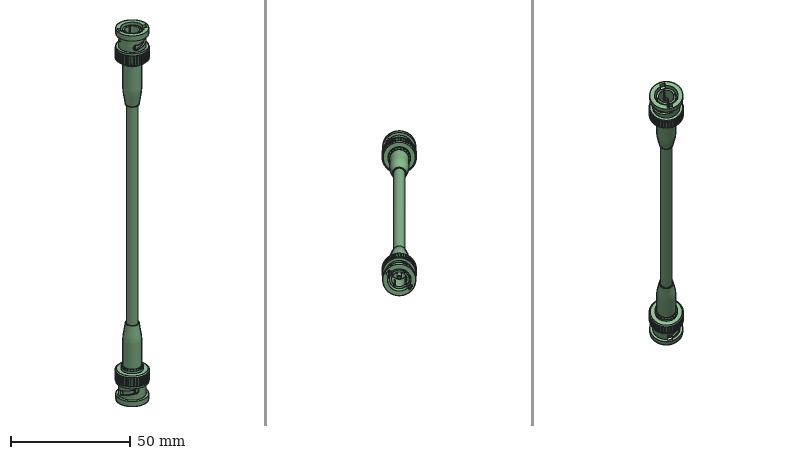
import cadquery as cq

LENGTH = 178.2

GRIP_RADIUS = 7.22
LIP_RADIUS = 7.0
BARREL_RADIUS = 5.8
NUT_BORE_RADIUS = 4.9
LIP_END = 2.5
BARREL_END = 8.5
GRIP_START = 9.6
NUT_END = 14.6
GRIP_CHAMFER = 0.5
KNURL_END = 13.5
KNURL_COUNT = 36
KNURL_DEPTH = 0.4
KNURL_GROOVE_WIDTH = 0.5

TRACK_COUNT = 2
TRACK_WIDTH = 2.1
TRACK_OUTER_RADIUS = 6.0
RAMP_START = 4.1
RAMP_RISE = 2.5
QUARTER_TURNS_PER_TURN = 4
SEAT_RADIUS = 1.2

SLEEVE_RADIUS = 4.1
SLEEVE_BORE_RADIUS = 3.2
SLEEVE_START = 0.9
SLEEVE_BORE_END = 10.7
SLEEVE_SLOT_COUNT = 4
SLEEVE_SLOT_WIDTH = 0.5
SLEEVE_SLOT_END = 8.0
COLLAR_RADIUS = 4.72
COLLAR_HEIGHT = 1.8
COLLAR_CHAMFER = 0.62
COLLAR_NOTCH_COUNT = 20
COLLAR_NOTCH_WIDTH = 0.4
BODY_END = NUT_END + COLLAR_HEIGHT

PIN_RADIUS = 0.9
PIN_START = 2.9
PIN_END = 12.5
PIN_TIP_CHAMFER = 0.4

BOOT_RADIUS = 4.01
BOOT_SHOULDER_RADIUS = 3.7
BOOT_TIP_RADIUS = 2.94
BOOT_BEND_START = 28.7
BOOT_TAPER_START = 31.4
BOOT_END = 36.5
CABLE_RADIUS = 2.5


def cylinder(radius, start, end):
    return cq.Workplane("XY").workplane(offset=start).circle(radius).extrude(end - start)


def turned(shape, angle):
    """The shape turned about the Z axis."""
    return shape.rotate((0, 0, 0), (0, 0, 1), angle)


def radial_bars(radius, depth, width, count, start, end, first_angle=0):
    """Axial bars evenly spaced on a circle, each reaching `depth` to both sides of it."""
    ring = cq.Workplane("XY").workplane(offset=start).polarArray(radius, first_angle, 360, count)
    return ring.rect(2 * depth, width).extrude(end - start)


def bayonet_track():
    """One track through the nut wall, entered at -Y and seated at +X."""
    depth = TRACK_OUTER_RADIUS - SLEEVE_RADIUS
    middle = (TRACK_OUTER_RADIUS + SLEEVE_RADIUS) / 2

    entry_end = RAMP_START + TRACK_WIDTH / 2
    entry = cq.Workplane("XY").center(0, -middle).rect(TRACK_WIDTH, depth).extrude(entry_end)

    helix = cq.Wire.makeHelix(QUARTER_TURNS_PER_TURN * RAMP_RISE, RAMP_RISE, middle)
    section = cq.Workplane("XZ").center(middle, 0).rect(depth, TRACK_WIDTH)
    ramp = section.sweep(cq.Workplane(helix), isFrenet=True)
    ramp = turned(ramp, -90).translate((0, 0, RAMP_START))

    seat = cq.Workplane("YZ").workplane(offset=SLEEVE_RADIUS).center(0, RAMP_START + RAMP_RISE)
    seat = seat.circle(SEAT_RADIUS).extrude(depth)
    return entry.union(ramp).union(seat)


def coupling_nut():
    grip = cylinder(GRIP_RADIUS, GRIP_START, NUT_END).faces(">Z").chamfer(GRIP_CHAMFER)
    grip = grip.cut(
        radial_bars(GRIP_RADIUS, KNURL_DEPTH, KNURL_GROOVE_WIDTH, KNURL_COUNT, GRIP_START, KNURL_END)
    )
    nut = cylinder(LIP_RADIUS, 0, LIP_END)
    nut = nut.union(cylinder(BARREL_RADIUS, LIP_END, BARREL_END))
    nut = nut.union(cylinder(LIP_RADIUS, BARREL_END, GRIP_START))
    nut = nut.union(grip)

    nut = nut.cut(cylinder(NUT_BORE_RADIUS, 0, GRIP_START))
    nut = nut.cut(cylinder(SLEEVE_RADIUS, GRIP_START, NUT_END))
    track = bayonet_track()
    for index in range(TRACK_COUNT):
        nut = nut.cut(turned(track, index * 360 / TRACK_COUNT))
    return nut


def plug_body():
    collar = cylinder(COLLAR_RADIUS, NUT_END, BODY_END).faces(">Z").chamfer(COLLAR_CHAMFER)
    half_pitch = 180 / COLLAR_NOTCH_COUNT
    collar = collar.cut(
        radial_bars(COLLAR_RADIUS, COLLAR_CHAMFER, COLLAR_NOTCH_WIDTH, COLLAR_NOTCH_COUNT,
                    BODY_END - COLLAR_CHAMFER, BODY_END, half_pitch)
    )
    body = cylinder(SLEEVE_RADIUS, SLEEVE_START, NUT_END).union(collar)
    body = body.cut(cylinder(SLEEVE_BORE_RADIUS, SLEEVE_START, SLEEVE_BORE_END))
    body = body.cut(
        radial_bars(SLEEVE_RADIUS, SLEEVE_RADIUS / 2, SLEEVE_SLOT_WIDTH, SLEEVE_SLOT_COUNT,
                    SLEEVE_START, SLEEVE_SLOT_END)
    )
    return body.cut(cylinder(PIN_RADIUS, SLEEVE_BORE_END, PIN_END))


def centre_pin():
    return cylinder(PIN_RADIUS, PIN_START, PIN_END).faces("<Z").chamfer(PIN_TIP_CHAMFER)


def boot():
    profile = (
        cq.Workplane("XZ")
        .moveTo(CABLE_RADIUS, BODY_END)
        .lineTo(BOOT_RADIUS, BODY_END)
        .lineTo(BOOT_RADIUS, BOOT_BEND_START)
        .tangentArcPoint((BOOT_SHOULDER_RADIUS, BOOT_TAPER_START), relative=False)
        .lineTo(BOOT_TIP_RADIUS, BOOT_END)
        .lineTo(CABLE_RADIUS, BOOT_END)
        .close()
    )
    return profile.revolve(360, (0, 0, 0), (0, 1, 0))


cable = cylinder(CABLE_RADIUS, BODY_END, LENGTH - BODY_END)
bodies = [cable.val()]
for make_body in (coupling_nut, plug_body, centre_pin, boot):
    lower = make_body()
    upper = lower.rotate((0, 0, 0), (0, 1, 0), 180).translate((0, 0, LENGTH))
    bodies.extend(lower.solids().vals())
    bodies.extend(upper.solids().vals())

result = cq.Compound.makeCompound(bodies)